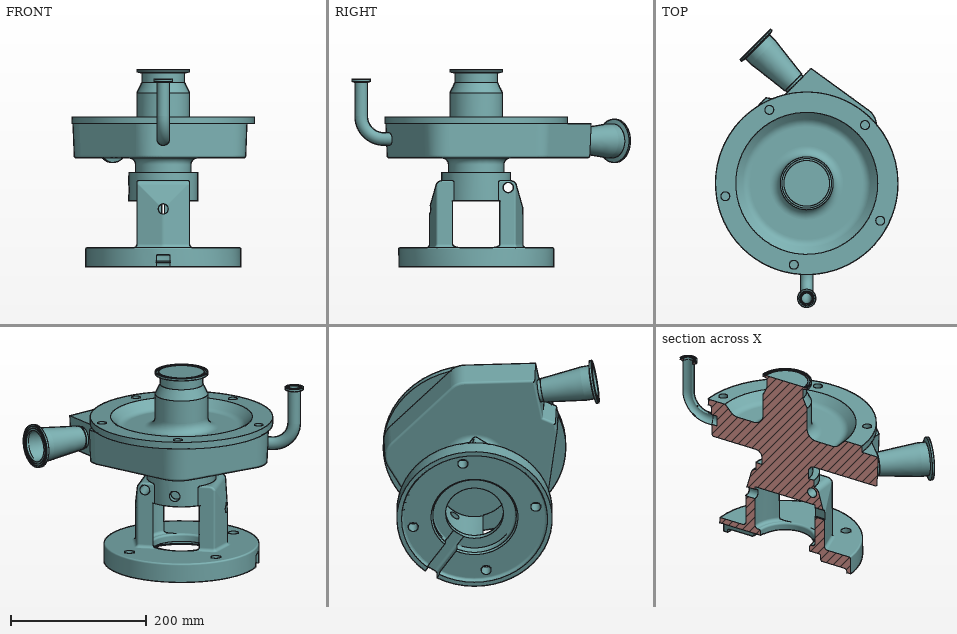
import cadquery as cq
import math

BASE_TOP = 28.5
COLLAR_BOTTOM = 97.5
LEG_TOP = 127.5
COLLAR_TOP = 139.5
CASING_BOTTOM = 160.7
FLANGE_BOTTOM = 211.3
FLANGE_TOP = 221.5
INLET_CONE_BOTTOM = 257.0
INLET_CONE_TOP = 272.0
PART_TOP = 291.0

BASE_RADIUS = 114.5
BASE_EDGE_FILLET = 2.5
BASE_BORE_RADIUS = 42.8
BASE_BORE_FILLET = 3.3
POCKET_RADIUS = 61.5
POCKET_TOP = 17.3
POCKET_FILLET = 2.5
POCKET_CHAMFER = 2.5
REGISTER_RADIUS = 107.5
REGISTER_TOP = 6.0
REGISTER_FILLET = 3.5
BASE_HOLE_RADIUS = 7.5
BASE_HOLE_CIRCLE = 92.0
BASE_HOLE_COUNT = 4
HOLE_START_ANGLE = 45
NOTCH_WIDTH = 20.5
NOTCH_HEIGHT = 18.5
NOTCH_CORNER = 4.0
CAVITY_RADIUS = 52.0
LEG_HALF_WIDTH = 39.0
LEG_SHOULDER = 58.5
LEG_RIDGE = 69.5
LEG_FACET_BOTTOM = 85.0
LEG_RIDGE_FILLET = 9.0
LEG_CORNER_FILLET = 3.3
LEG_FRONT_TOP_FILLET = 10.0
LEG_SIDE_TOP_FILLET = 3.0
LEG_FOOT_FILLET = 5.0
LEG_HOLE_RADIUS = 7.5
LEG_HOLE_HEIGHT = 85.5
LEG_SLIT_WIDTH = 3.5
CROSS_HOLE_RADIUS = 7.5
CROSS_HOLE_Y = 47.3
CROSS_HOLE_HEIGHT = 117.0

COLLAR_RADIUS = 51.0
COLLAR_HOLE_RADIUS = 8.0
COLLAR_HOLE_HEIGHT = 113.5
COLLAR_HOLE_DEPTH = 12.5
NECK_RADIUS = 41.0
NECK_FILLET = 10.0

CASING_SIDES = 5
CASING_APOTHEM = 115.5
CASING_FIRST_NORMAL = 225
CASING_DRAFT = 1.9
CASING_CORNER_FILLET = 34.5
BLOCK_CORNER_FILLET = 28.8
CORNER_FLAT_DISTANCE = 132.0
CASING_BOTTOM_FILLET = 3.3
OUTLET_SIDE_NORMAL = 54
OUTLET_ANGLE = 135

FLANGE_RADIUS = 135.0
FLANGE_HOLE_RADIUS = 6.5
FLANGE_HOLE_CIRCLE = 121.5
DISH_RIM_RADIUS = 105.0
DISH_CONE_RADIUS = 93.7
DISH_FLOOR_RADIUS = 83.5
INLET_FOOT_RADIUS = 54.3
DISH_SLOPE = 45

INLET_RADIUS = 39.0
INLET_NECK_RADIUS = 31.5
FERRULE_RIM = 3.3
FERRULE_FLARE = 1.5
FERRULE_GROOVE_WIDTH = 3.0
FERRULE_GROOVE_DEPTH = 1.0
FERRULE_LIP = 2.5

OUTLET_HEIGHT = (CASING_BOTTOM + FLANGE_BOTTOM) / 2
OUTLET_OFFSET = 91.3
OUTLET_REACH_Y = 227.7
OUTLET_CONE_END = 181.3
OUTLET_CONE_START = 119.2
OUTLET_ROOT_RADIUS = 16.5
OUTLET_SMALL_RADIUS = 17.5
OUTLET_LARGE_RADIUS = 25.0
OUTLET_FERRULE_RADIUS = 32.0
OUTLET_WALL = 1.5
OUTLET_EMBED = 4.0
OUTLET_END = OUTLET_REACH_Y * math.sqrt(2) - OUTLET_OFFSET - OUTLET_FERRULE_RADIUS
OUTLET_MOUTH_DEPTH = 12.7
OUTLET_BORE_STEP_DEPTH = 25.5
OUTLET_BORE_STEP_RADIUS = 22.5

DRAIN_RADIUS = 9.5
DRAIN_WALL = 1.5
DRAIN_HEIGHT = 188.5
DRAIN_Y = -169.8
DRAIN_BEND_RADIUS = 33.7
DRAIN_ROOT_Y = -119.2
DRAIN_TOP = 277.0
DRAIN_FERRULE_RADIUS = 13.5


def cylinder(radius, bottom, top):
    return cq.Workplane("XY").workplane(offset=bottom).circle(radius).extrude(top - bottom)


def revolve_profile(points):
    """Revolve (radius, height) points about the Z axis."""
    return cq.Workplane("XZ").polyline(points).close().revolve(360, (0, 0, 0), (0, 1, 0))


def ferrule_points(pipe_radius, rim_radius, end):
    """Outline of a clamp ferrule from its pipe to the centre of its end face."""
    rim_bottom = end - FERRULE_RIM
    return [
        (pipe_radius, rim_bottom - FERRULE_FLARE),
        (rim_radius, rim_bottom),
        (rim_radius, end),
        (0, end),
    ]


def ferrule_groove(rim_radius, end):
    """Shallow ring to cut from a ferrule's end face."""
    outer = rim_radius - FERRULE_LIP
    bottom = end - FERRULE_GROOVE_DEPTH
    return cylinder(outer, bottom, end).cut(cylinder(outer - FERRULE_GROOVE_WIDTH, bottom, end))


def base_top_edges(reach):
    """Selector for the edges on the base's top face that lie within a central square."""
    margin = 0.5
    return cq.selectors.BoxSelector(
        (-reach, -reach, BASE_TOP - margin), (reach, reach, BASE_TOP + margin), boundingbox=True
    )


def make_base_and_legs():
    base = cylinder(BASE_RADIUS, 0, BASE_TOP).faces(">Z").edges().fillet(BASE_EDGE_FILLET)

    legs = (
        cq.Workplane("XY")
        .polyline([
            (-LEG_HALF_WIDTH, -LEG_SHOULDER),
            (0, -LEG_RIDGE),
            (LEG_HALF_WIDTH, -LEG_SHOULDER),
            (LEG_HALF_WIDTH, LEG_SHOULDER),
            (0, LEG_RIDGE),
            (-LEG_HALF_WIDTH, LEG_SHOULDER),
        ])
        .close()
        .extrude(LEG_TOP)
    )
    legs = legs.edges("|Z and (>Y or <Y)").fillet(LEG_RIDGE_FILLET)

    facet_slope = (LEG_RIDGE - LEG_SHOULDER) / LEG_HALF_WIDTH
    facet_top_y = LEG_RIDGE - facet_slope * (LEG_TOP - LEG_FACET_BOTTOM)
    for side in (-1, 1):
        wedge = (
            cq.Workplane("YZ")
            .polyline([
                (side * LEG_RIDGE, LEG_FACET_BOTTOM),
                (side * facet_top_y, LEG_TOP),
                (side * LEG_RIDGE, LEG_TOP),
            ])
            .close()
            .extrude(LEG_HALF_WIDTH, both=True)
        )
        legs = legs.cut(wedge)
    legs = legs.edges("|Z").edges("<X or >X").fillet(LEG_CORNER_FILLET)
    legs = legs.faces(">Z").edges("<Y or >Y").fillet(LEG_FRONT_TOP_FILLET)
    legs = legs.faces(">Z").edges("<X or >X").fillet(LEG_SIDE_TOP_FILLET)

    body = base.union(legs).cut(cylinder(CAVITY_RADIUS, BASE_TOP, COLLAR_BOTTOM))
    return body.edges(base_top_edges(LEG_RIDGE)).fillet(LEG_FOOT_FILLET)


def cut_base_and_legs(body):
    body = body.cut(cylinder(BASE_BORE_RADIUS, 0, BASE_TOP))
    bore_rim = body.edges(base_top_edges(CAVITY_RADIUS)).edges(cq.selectors.RadiusNthSelector(0))
    body = bore_rim.fillet(BASE_BORE_FILLET)

    pocket = cylinder(POCKET_RADIUS, 0, POCKET_TOP).faces(">Z").edges().fillet(POCKET_FILLET)
    register = cylinder(REGISTER_RADIUS, 0, REGISTER_TOP)
    register = register.faces(">Z").edges().fillet(REGISTER_FILLET)
    pocket_mouth = revolve_profile([
        (0, REGISTER_TOP),
        (POCKET_RADIUS + POCKET_CHAMFER, REGISTER_TOP),
        (POCKET_RADIUS, REGISTER_TOP + POCKET_CHAMFER),
        (0, REGISTER_TOP + POCKET_CHAMFER),
    ])
    body = body.cut(pocket).cut(register).cut(pocket_mouth)

    holes = (
        cq.Workplane("XY")
        .polarArray(BASE_HOLE_CIRCLE, HOLE_START_ANGLE, 360, BASE_HOLE_COUNT)
        .circle(BASE_HOLE_RADIUS)
        .extrude(BASE_TOP)
    )
    notch = (
        cq.Workplane("XY")
        .box(NOTCH_WIDTH, BASE_RADIUS, NOTCH_HEIGHT, centered=(True, False, False))
        .translate((0, -BASE_RADIUS, 0))
        .edges("|Y and >Z")
        .fillet(NOTCH_CORNER)
    )
    leg_hole = (
        cq.Workplane("XZ").center(0, LEG_HOLE_HEIGHT).circle(LEG_HOLE_RADIUS).extrude(LEG_RIDGE)
    )
    leg_slit = (
        cq.Workplane("XZ")
        .center(0, LEG_HOLE_HEIGHT)
        .rect(LEG_SLIT_WIDTH, 2 * LEG_HOLE_RADIUS)
        .extrude(-LEG_RIDGE)
    )
    return body.cut(holes).cut(notch).cut(leg_hole).cut(leg_slit)


def make_collar_and_neck():
    fillet_start = CASING_BOTTOM - NECK_FILLET
    bend = NECK_FILLET * (1 - math.sqrt(0.5))
    neck = (
        cq.Workplane("XZ")
        .moveTo(0, COLLAR_TOP)
        .lineTo(NECK_RADIUS, COLLAR_TOP)
        .lineTo(NECK_RADIUS, fillet_start)
        .threePointArc(
            (NECK_RADIUS + bend, CASING_BOTTOM - bend),
            (NECK_RADIUS + NECK_FILLET, CASING_BOTTOM),
        )
        .lineTo(0, CASING_BOTTOM)
        .close()
        .revolve(360, (0, 0, 0), (0, 1, 0))
    )
    return cylinder(COLLAR_RADIUS, COLLAR_BOTTOM, COLLAR_TOP).union(neck)


def cut_collar_holes(body):
    collar_hole = (
        cq.Workplane("YZ", origin=(-COLLAR_RADIUS, 0, COLLAR_HOLE_HEIGHT))
        .circle(COLLAR_HOLE_RADIUS)
        .extrude(COLLAR_HOLE_DEPTH)
    )
    cross_hole = (
        cq.Workplane("YZ", origin=(0, CROSS_HOLE_Y, CROSS_HOLE_HEIGHT))
        .circle(CROSS_HOLE_RADIUS)
        .extrude(COLLAR_RADIUS, both=True)
    )
    return body.cut(collar_hole).cut(cross_hole)


def crossing(first, second):
    """Point where two lines meet, each given as (normal angle, distance from the axis)."""
    (angle_a, dist_a), (angle_b, dist_b) = first, second
    a, b = math.radians(angle_a), math.radians(angle_b)
    scale = math.sin(b - a)
    return (
        (dist_a * math.sin(b) - dist_b * math.sin(a)) / scale,
        (dist_b * math.cos(a) - dist_a * math.cos(b)) / scale,
    )


def make_casing():
    step = 360 / CASING_SIDES
    corner_distance = CASING_APOTHEM / math.cos(math.radians(step / 2))
    sides = [(CASING_FIRST_NORMAL + step * i, CASING_APOTHEM) for i in range(CASING_SIDES)]
    corner_angle = CASING_FIRST_NORMAL + step * 2.5 - 360
    side_distance = corner_distance * math.cos(math.radians(OUTLET_SIDE_NORMAL - corner_angle))
    sides[3:3] = [(OUTLET_SIDE_NORMAL, side_distance), (OUTLET_ANGLE, CASING_APOTHEM)]
    sides.insert(6, (OUTLET_ANGLE, CORNER_FLAT_DISTANCE))
    corners = [crossing(side, sides[i - 1]) for i, side in enumerate(sides)]

    casing = (
        cq.Workplane("XY")
        .workplane(offset=FLANGE_BOTTOM)
        .polyline(corners)
        .close()
        .extrude(CASING_BOTTOM - FLANGE_BOTTOM, taper=CASING_DRAFT)
    )
    fillets = {
        0: CASING_CORNER_FILLET,
        1: CASING_CORNER_FILLET,
        2: CASING_CORNER_FILLET,
        3: BLOCK_CORNER_FILLET,
    }
    for index, radius in fillets.items():
        x, y = corners[index]
        edge = cq.selectors.NearestToPointSelector((x, y, OUTLET_HEIGHT))
        casing = casing.edges(edge).fillet(radius)
    rounded = casing.faces("<Z").edges().sort(lambda edge: edge.Center().y)[:-2]
    return rounded.fillet(CASING_BOTTOM_FILLET)


def make_flange_and_inlet():
    dish_slope = math.radians(DISH_SLOPE)
    dish_radius = (DISH_CONE_RADIUS - DISH_FLOOR_RADIUS) / math.sin(dish_slope)
    cone_end = FLANGE_TOP - (DISH_RIM_RADIUS - DISH_CONE_RADIUS) * math.tan(dish_slope)
    floor = cone_end - dish_radius * (1 - math.cos(dish_slope))
    foot = INLET_FOOT_RADIUS - INLET_RADIUS
    foot_bend = foot * (1 - math.sqrt(0.5))
    dish = (
        cq.Workplane("XZ")
        .moveTo(DISH_RIM_RADIUS, FLANGE_TOP)
        .lineTo(DISH_CONE_RADIUS, cone_end)
        .threePointArc(
            (
                DISH_FLOOR_RADIUS + dish_radius * math.sin(dish_slope / 2),
                floor + dish_radius * (1 - math.cos(dish_slope / 2)),
            ),
            (DISH_FLOOR_RADIUS, floor),
        )
        .lineTo(INLET_FOOT_RADIUS, floor)
        .threePointArc(
            (INLET_RADIUS + foot_bend, floor + foot_bend),
            (INLET_RADIUS, floor + foot),
        )
        .lineTo(INLET_RADIUS, FLANGE_TOP)
        .close()
        .revolve(360, (0, 0, 0), (0, 1, 0))
    )
    inlet = revolve_profile([
        (0, FLANGE_BOTTOM),
        (INLET_RADIUS, FLANGE_BOTTOM),
        (INLET_RADIUS, INLET_CONE_BOTTOM),
        (INLET_NECK_RADIUS, INLET_CONE_TOP),
        *ferrule_points(INLET_NECK_RADIUS, INLET_RADIUS, PART_TOP),
    ])
    holes = (
        cq.Workplane("XY")
        .workplane(offset=FLANGE_BOTTOM)
        .polarArray(FLANGE_HOLE_CIRCLE, HOLE_START_ANGLE, 360, CASING_SIDES)
        .circle(FLANGE_HOLE_RADIUS)
        .extrude(FLANGE_TOP - FLANGE_BOTTOM)
    )
    flange = cylinder(FLANGE_RADIUS, FLANGE_BOTTOM, FLANGE_TOP).cut(holes)
    return flange, inlet.cut(ferrule_groove(INLET_RADIUS, PART_TOP)), dish


def place_outlet(shape):
    """Turn a shape built along Z so that it lies on the outlet axis."""
    lying = shape.rotate((0, 0, 0), (0, 1, 0), 90).translate((0, -OUTLET_OFFSET, OUTLET_HEIGHT))
    return lying.rotate((0, 0, 0), (0, 0, 1), OUTLET_ANGLE)


def make_outlet():
    root = CASING_APOTHEM - OUTLET_EMBED
    pipe = revolve_profile([
        (0, root),
        (OUTLET_ROOT_RADIUS, root),
        (OUTLET_ROOT_RADIUS, OUTLET_CONE_START),
        (OUTLET_SMALL_RADIUS, OUTLET_CONE_START),
        (OUTLET_LARGE_RADIUS, OUTLET_CONE_END),
        *ferrule_points(OUTLET_LARGE_RADIUS, OUTLET_FERRULE_RADIUS, OUTLET_END),
    ])
    bore = revolve_profile([
        (0, OUTLET_CONE_START),
        (OUTLET_SMALL_RADIUS - OUTLET_WALL, OUTLET_CONE_START),
        (OUTLET_BORE_STEP_RADIUS, OUTLET_END - OUTLET_BORE_STEP_DEPTH),
        (OUTLET_LARGE_RADIUS - OUTLET_WALL, OUTLET_END - OUTLET_MOUTH_DEPTH),
        (OUTLET_LARGE_RADIUS - OUTLET_WALL, OUTLET_END),
        (0, OUTLET_END),
    ])
    pipe = pipe.cut(ferrule_groove(OUTLET_FERRULE_RADIUS, OUTLET_END))
    return place_outlet(pipe), place_outlet(bore)


def sweep_drain(radius, start_y):
    """Round bar from the casing wall, round the bend and up to the drain end."""
    bend_y = DRAIN_Y + DRAIN_BEND_RADIUS
    bend_top = DRAIN_HEIGHT + DRAIN_BEND_RADIUS
    diagonal = DRAIN_BEND_RADIUS * math.sqrt(0.5)
    path = (
        cq.Workplane("YZ")
        .moveTo(start_y, DRAIN_HEIGHT)
        .lineTo(bend_y, DRAIN_HEIGHT)
        .threePointArc((bend_y - diagonal, bend_top - diagonal), (DRAIN_Y, bend_top))
        .lineTo(DRAIN_Y, DRAIN_TOP)
    )
    start = cq.Workplane("XZ", origin=(0, start_y, DRAIN_HEIGHT))
    return start.circle(radius).sweep(path)


def make_drain():
    ferrule = revolve_profile([
        (0, DRAIN_TOP - FERRULE_RIM - FERRULE_FLARE),
        *ferrule_points(DRAIN_RADIUS, DRAIN_FERRULE_RADIUS, DRAIN_TOP),
    ]).cut(ferrule_groove(DRAIN_FERRULE_RADIUS, DRAIN_TOP)).translate((0, DRAIN_Y, 0))
    pipe = sweep_drain(DRAIN_RADIUS, DRAIN_ROOT_Y).union(ferrule)
    bore = sweep_drain(DRAIN_RADIUS - DRAIN_WALL, DRAIN_ROOT_Y)
    return pipe, bore


stand = cut_base_and_legs(make_base_and_legs())
stand = cut_collar_holes(stand.union(make_collar_and_neck()))
flange, inlet, dish = make_flange_and_inlet()
outlet, outlet_bore = make_outlet()
drain, drain_bore = make_drain()

body = stand.union(make_casing()).union(flange).union(inlet).cut(dish)
result = body.union(outlet).cut(outlet_bore).union(drain).cut(drain_bore)